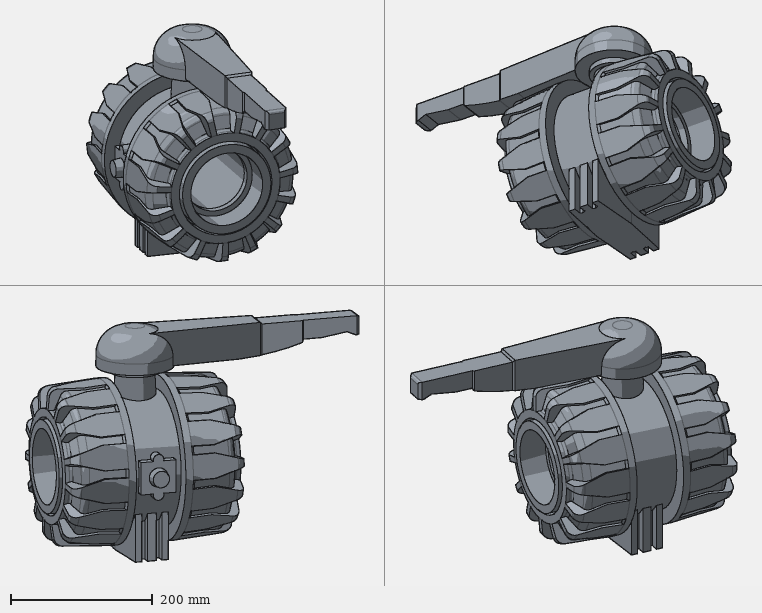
import cadquery as cq
import math


barrel_radius = 97.5
barrel_half_length = 83.5
bore_radius = 46.5
neck_bottom_radius = 30.5
neck_top_radius = 28.5
neck_base_z = 83.5
neck_top_z = 128.0
foot_bottom_z = -129.5
foot_half_depth = 77.0
foot_middle_half_width = 29.5
foot_end_half_width = 24.5
foot_groove_offset = 10.5
foot_groove_half_width = 4.0
foot_groove_side_depth = 12.5
foot_groove_depth = 14.5
plate_half_width = 26.0
plate_half_height = 23.5
plate_face_y = -107.3
ear_radius = 8.0
ear_tip_z = 33.5
boss_root_radius = 14.0
boss_tip_radius = 12.0
boss_tip_y = -120.0

nut_inner_x = 36.5
flange_outer_x = 48.0
flange_radius = 119.0
nut_end_x = 130.5
nut_mouth_radius = 70.0
hub_radius = 82.5
rib_count = 15
rib_round_start = (116.5, 114.0)
rib_round_end = (128.5, 103.5)
groove_start = (51.0, 115.5)
floor_round_start = (104.0, 112.0)
floor_round_end = (113.8, 104.0)
floor_face_x = 120.5
hub_fillet = 3.5
rib_straight_end_x = 82.0
rib_tip_half_width = 4.0
groove_half_width = 6.5

connector_end_x = 134.5
connector_radius = 67.0
collar_outer_x = 102.0
socket_radius = 54.5
socket_floor_x = 94.3

hub_collar_radius = 35.5
dome_radius = 55.3
dome_bottom_z = 136.5
dome_spring_z = 153.0
dome_top_z = 194.5
dome_flat_radius = dome_radius - (dome_top_z - dome_spring_z)
overall_length = 464.5
lever_end_x = overall_length - connector_end_x
lever_top_z = 190.0
grip_top_z = 186.5
lever_bottom_z = 139.5
shoulder_start_x = 180.0
shoulder_end_x = 183.0
grip_step_x = 243.5
grip_step_length = 2.5
lever_root_half_width = 31.5
lever_shoulder_half_width = 20.5
grip_half_width = 18.0
tip_half_width = 16.3
tip_bottom_z = 159.0
lever_belly_start_x = 148.5
lever_shoulder_bottom_z = 141.5
grip_belly_middle = (213.5, 146.5)
grip_step_bottom_z = 154.5
finger_rise_start_x = 272.0
finger_rise_peak = (310.0, 164.5)
finger_rise_end_x = 322.5
tip_chamfer = 4.5
tip_corner_radius = 4.5


def cylinder_x(radius, start_x, end_x):
    return cq.Workplane("YZ").workplane(offset=start_x).circle(radius).extrude(end_x - start_x)


def make_neck():
    height = neck_top_z - neck_base_z
    return (
        cq.Workplane("XY").workplane(offset=neck_base_z).circle(neck_bottom_radius)
        .workplane(offset=height).circle(neck_top_radius).loft()
    )


def make_foot():
    foot = (
        cq.Workplane("XY").workplane(offset=foot_bottom_z)
        .moveTo(-foot_end_half_width, -foot_half_depth)
        .lineTo(foot_end_half_width, -foot_half_depth)
        .lineTo(foot_middle_half_width, 0)
        .lineTo(foot_end_half_width, foot_half_depth)
        .lineTo(-foot_end_half_width, foot_half_depth)
        .lineTo(-foot_middle_half_width, 0)
        .close()
        .extrude(-foot_bottom_z)
    )
    groove = (
        cq.Workplane("XY").workplane(offset=foot_bottom_z)
        .moveTo(-foot_groove_half_width, -foot_half_depth)
        .lineTo(foot_groove_half_width, -foot_half_depth)
        .lineTo(foot_groove_half_width, foot_groove_side_depth - foot_half_depth)
        .lineTo(0, foot_groove_depth - foot_half_depth)
        .lineTo(-foot_groove_half_width, foot_groove_side_depth - foot_half_depth)
        .close()
        .extrude(-foot_bottom_z)
    )
    for offset in (-foot_groove_offset, foot_groove_offset):
        front_groove = groove.translate((offset, 0, 0))
        foot = foot.cut(front_groove).cut(front_groove.mirror("XZ"))
    return foot


def make_side_plate():
    thickness = -plate_face_y
    plate = cq.Workplane("XZ").rect(2 * plate_half_width, 2 * plate_half_height).extrude(thickness)
    ears = cq.Workplane("XZ").slot2D(2 * ear_tip_z, 2 * ear_radius, 90).extrude(thickness)
    boss = (
        cq.Workplane("XY")
        .lineTo(boss_root_radius, 0)
        .lineTo(boss_root_radius, plate_face_y)
        .lineTo(boss_tip_radius, boss_tip_y)
        .lineTo(0, boss_tip_y)
        .close()
        .revolve(360, (0, 0, 0), (0, 1, 0))
    )
    return plate.union(ears).union(boss)


def make_housing():
    housing = cylinder_x(barrel_radius, -barrel_half_length, barrel_half_length)
    housing = housing.union(make_neck()).union(make_foot()).union(make_side_plate())
    return housing.cut(cylinder_x(bore_radius, -barrel_half_length, barrel_half_length))


def make_nut_core():
    return (
        cq.Workplane("XY")
        .moveTo(nut_inner_x, barrel_radius)
        .lineTo(nut_inner_x, flange_radius)
        .lineTo(flange_outer_x, flange_radius)
        .lineTo(*groove_start)
        .lineTo(*floor_round_start)
        .tangentArcPoint(floor_round_end, relative=False)
        .lineTo(floor_face_x, hub_radius + hub_fillet)
        .radiusArc((floor_face_x + hub_fillet, hub_radius), -hub_fillet)
        .lineTo(nut_end_x, hub_radius)
        .lineTo(nut_end_x, nut_mouth_radius)
        .lineTo(collar_outer_x, nut_mouth_radius)
        .lineTo(collar_outer_x, barrel_radius)
        .close()
        .revolve(360, (0, 0, 0), (1, 0, 0))
    )


def make_ribs():
    envelope = (
        cq.Workplane("XY")
        .moveTo(flange_outer_x, barrel_radius)
        .lineTo(flange_outer_x, flange_radius)
        .lineTo(*rib_round_start)
        .tangentArcPoint(rib_round_end, relative=False)
        .lineTo(nut_end_x, hub_radius)
        .lineTo(collar_outer_x, hub_radius)
        .lineTo(collar_outer_x, barrel_radius)
        .close()
        .revolve(360, (0, 0, 0), (1, 0, 0))
    )
    pitch = 360 / rib_count
    rib_half_width = flange_radius * math.sin(math.radians(pitch / 2)) - groove_half_width
    bar = (
        cq.Workplane("XY")
        .moveTo(flange_outer_x, -rib_half_width)
        .lineTo(rib_straight_end_x, -rib_half_width)
        .lineTo(nut_end_x, -rib_tip_half_width)
        .lineTo(nut_end_x, rib_tip_half_width)
        .lineTo(rib_straight_end_x, rib_half_width)
        .lineTo(flange_outer_x, rib_half_width)
        .close()
        .extrude(-flange_radius)
    )
    rib = bar.intersect(envelope)
    return [rib.rotate((0, 0, 0), (1, 0, 0), index * pitch) for index in range(rib_count)]


def make_nut():
    nut = make_nut_core()
    for rib in make_ribs():
        nut = nut.union(rib)
    return nut


def make_connector():
    collar = cylinder_x(barrel_radius, barrel_half_length, collar_outer_x)
    pipe = cylinder_x(connector_radius, barrel_half_length, connector_end_x)
    bore = cylinder_x(bore_radius, barrel_half_length, connector_end_x)
    socket = cylinder_x(socket_radius, socket_floor_x, connector_end_x)
    return collar.union(pipe).cut(bore).cut(socket)


def make_dome():
    return (
        cq.Workplane("XZ")
        .moveTo(0, neck_top_z)
        .lineTo(hub_collar_radius, neck_top_z)
        .lineTo(hub_collar_radius, dome_bottom_z)
        .lineTo(dome_radius, dome_bottom_z)
        .lineTo(dome_radius, dome_spring_z)
        .radiusArc((dome_flat_radius, dome_top_z), -(dome_top_z - dome_spring_z))
        .lineTo(0, dome_top_z)
        .close()
        .revolve(360, (0, 0, 0), (0, 1, 0))
    )


def make_lever():
    side = (
        cq.Workplane("XZ").workplane(offset=-lever_root_half_width)
        .moveTo(0, lever_bottom_z)
        .lineTo(lever_belly_start_x, lever_bottom_z)
        .lineTo(shoulder_end_x, lever_shoulder_bottom_z)
        .threePointArc(grip_belly_middle, (grip_step_x, grip_step_bottom_z))
        .lineTo(grip_step_x + grip_step_length, tip_bottom_z)
        .lineTo(finger_rise_start_x, tip_bottom_z)
        .lineTo(*finger_rise_peak)
        .lineTo(finger_rise_end_x, tip_bottom_z)
        .lineTo(lever_end_x, tip_bottom_z)
        .lineTo(lever_end_x, grip_top_z - tip_corner_radius)
        .radiusArc((lever_end_x - tip_corner_radius, grip_top_z), -tip_corner_radius)
        .lineTo(shoulder_end_x, grip_top_z)
        .lineTo(shoulder_start_x, lever_top_z)
        .lineTo(0, lever_top_z)
        .close()
        .extrude(2 * lever_root_half_width)
    )
    half_plan = [
        (0, lever_root_half_width),
        (shoulder_start_x, lever_shoulder_half_width),
        (shoulder_end_x, grip_half_width),
        (grip_step_x, grip_half_width),
        (grip_step_x + grip_step_length, tip_half_width),
        (lever_end_x - tip_chamfer, tip_half_width),
        (lever_end_x, tip_half_width - tip_chamfer),
    ]
    mirrored_plan = [(x, -y) for x, y in reversed(half_plan)]
    plan = (
        cq.Workplane("XY").workplane(offset=lever_bottom_z)
        .polyline(half_plan + mirrored_plan).close()
        .extrude(lever_top_z - lever_bottom_z)
    )
    return side.intersect(plan)


def make_handle():
    return make_dome().union(make_lever())


housing = make_housing()
handle = make_handle()

nuts = []
connectors = []
for turn in (0, 180):
    nuts.append(make_nut().rotate((0, 0, 0), (0, 1, 0), turn))
    connectors.append(make_connector().rotate((0, 0, 0), (0, 1, 0), turn))

result = cq.Compound.makeCompound(
    [housing.val(), handle.val()]
    + [nut.val() for nut in nuts]
    + [connector.val() for connector in connectors]
)